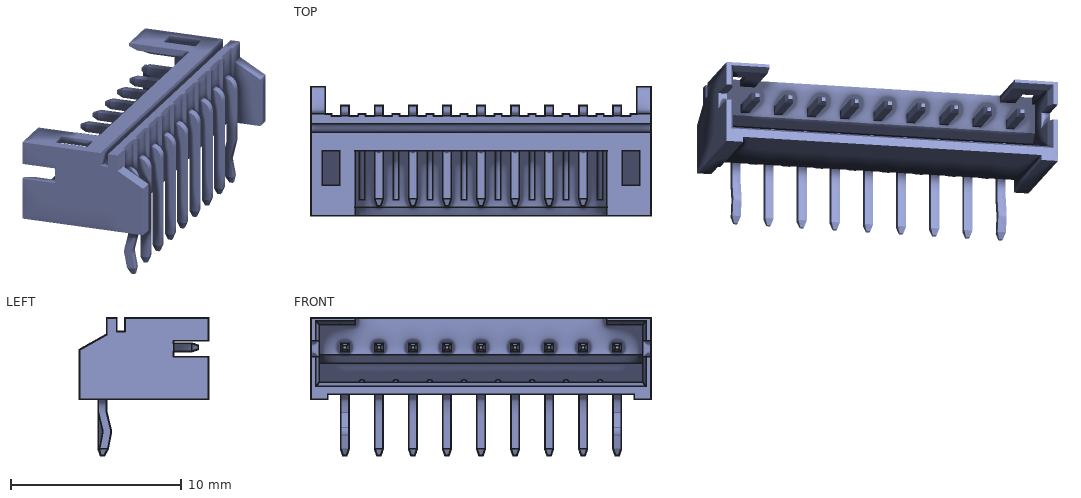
import cadquery as cq
import math


pin_count = 9
pitch = 2.0
pin_size = 0.5
half_pin = pin_size / 2
tip_size = 0.22
tip_length = 0.4
pin_axis_z = 3.05
pin_front_y = 0.6
leg_axis_y = 6.25
leg_bottom_z = -3.3
bend_radius = 0.7

kink_start_z = -0.75
crest_top_z = -1.65
crest_top_shift = 0.22
crest_middle_z = -1.85
crest_middle_shift = 0.25
crest_bottom_z = -2.08
crest_bottom_shift = 0.25
kink_end_shift = 0.08

width = 20.0
depth = 7.6
height = 4.8
end_margin = (width - (pin_count - 1) * pitch) / 2
back_wall_y = 5.88
parapet_y = 6.0
ear_width = 0.85
ear_top_z = 2.92
slope_top_z = 3.82
base_z = 0.3
foot_width = 1.0

groove_front_y = 4.92
groove_back_y = 5.4
groove_floor_z = 4.0

side_wall = 0.5
floor_z = 1.0
ceiling_z = 4.4
cavity_depth = 3.82
lead_in = 0.22
lead_in_depth = 0.52
undercut_top_z = 2.65
undercut_bottom_z = 2.15
undercut_slope_depth = 0.5
undercut_depth = 1.2

roof_margin = 2.6
window_margin = 0.68
window_width = 1.02
window_front_y = 1.8
slot_bottom_z = 2.52
slot_top_z = 3.45
slot_depth = 2.05

floor_rib_radius = 0.15
floor_rib_front_y = 0.95
back_rib_width = 0.45

pin_positions = [-width / 2 + end_margin + i * pitch for i in range(pin_count)]
gap_positions = [x + pitch / 2 for x in pin_positions[:-1]]
back_rib_positions = [pin_positions[0] - pitch / 2] + [x + pitch / 2 for x in pin_positions]


def block(x_range, y_range, z_range):
    """Box spanning the given (low, high) ranges."""
    (x0, x1), (y0, y1), (z0, z1) = x_range, y_range, z_range
    return cq.Workplane("XY").box(x1 - x0, y1 - y0, z1 - z0, centered=False).translate((x0, y0, z0))


def extrude_along_x(profile, length):
    """Extrude a closed (y, z) outline symmetrically about x = 0."""
    return cq.Workplane("YZ").polyline(profile).close().extrude(length / 2, both=True)


def make_shell():
    side_profile = [
        (0, 0),
        (depth, 0),
        (depth, ear_top_z),
        (parapet_y, slope_top_z),
        (parapet_y, height),
        (0, height),
    ]
    shell = extrude_along_x(side_profile, width)

    half_rear = width / 2 - ear_width
    shell = shell.cut(block((-half_rear, half_rear), (back_wall_y, depth), (0, height)))

    half_base = width / 2 - foot_width
    shell = shell.cut(block((-half_base, half_base), (0, back_wall_y), (0, base_z)))

    half_width = width / 2
    return shell.cut(
        block((-half_width, half_width), (groove_front_y, groove_back_y), (groove_floor_z, height))
    )


def make_cavity():
    cavity_width = width - 2 * side_wall
    cavity_height = ceiling_z - floor_z
    half_cavity = cavity_width / 2
    cavity = block((-half_cavity, half_cavity), (0, cavity_depth), (floor_z, ceiling_z))

    mouth = (
        cq.Workplane("XZ", origin=(0, 0, (floor_z + ceiling_z) / 2))
        .rect(cavity_width + 2 * lead_in, cavity_height + 2 * lead_in)
        .workplane(offset=-lead_in_depth)
        .rect(cavity_width, cavity_height)
        .loft(ruled=True)
    )
    undercut_back_y = cavity_depth + undercut_depth
    undercut = extrude_along_x(
        [
            (cavity_depth, floor_z),
            (undercut_back_y, floor_z),
            (undercut_back_y, undercut_bottom_z),
            (cavity_depth + undercut_slope_depth, undercut_bottom_z),
            (cavity_depth, undercut_top_z),
        ],
        cavity_width,
    )
    return cavity.union(mouth).union(undercut)


def make_shroud_openings():
    half_width = width / 2
    half_roof = half_width - roof_margin
    openings = block((-half_roof, half_roof), (0, cavity_depth), (floor_z, height))
    openings = openings.union(
        block((-half_width, half_width), (0, slot_depth), (slot_bottom_z, slot_top_z))
    )
    outer_x = half_width - window_margin
    inner_x = outer_x - window_width
    for x_range in [(-outer_x, -inner_x), (inner_x, outer_x)]:
        openings = openings.union(block(x_range, (window_front_y, cavity_depth), (ceiling_z, height)))
    return openings


def make_floor_ribs():
    rib_length = cavity_depth + undercut_depth - floor_rib_front_y
    return (
        cq.Workplane("XZ", origin=(0, floor_rib_front_y, floor_z))
        .pushPoints([(x, 0) for x in gap_positions])
        .circle(floor_rib_radius)
        .extrude(-rib_length)
    )


def make_back_ribs():
    rib_depth = parapet_y - back_wall_y
    rib_height = height - base_z
    return (
        cq.Workplane("XY", origin=(0, back_wall_y + rib_depth / 2, base_z))
        .pushPoints([(x, 0) for x in back_rib_positions])
        .rect(back_rib_width, rib_depth)
        .extrude(rib_height)
    )


def make_tip(plane, root_shift=0):
    """Blunt pyramid ending a contact along the plane normal; its root may be shifted in local y."""
    return (
        cq.Workplane(plane)
        .center(0, root_shift)
        .rect(pin_size, pin_size)
        .workplane(offset=tip_length)
        .center(0, -root_shift)
        .rect(tip_size, tip_size)
        .loft(ruled=True)
    )


def make_leg(kinked, start_z):
    """Square leg at x = 0 from start_z down to its tip; a kinked leg bows toward the mouth."""
    inner_y = leg_axis_y - half_pin
    outer_y = leg_axis_y + half_pin
    end_z = leg_bottom_z + tip_length
    end_shift = kink_end_shift if kinked else 0

    outline = cq.Workplane("YZ").moveTo(inner_y, start_z).lineTo(outer_y, start_z)
    if kinked:
        outline = (
            outline.lineTo(outer_y, kink_start_z)
            .lineTo(outer_y - crest_top_shift, crest_top_z)
            .threePointArc(
                (outer_y - crest_middle_shift, crest_middle_z),
                (outer_y - crest_bottom_shift, crest_bottom_z),
            )
        )
    outline = outline.lineTo(outer_y - end_shift, end_z).lineTo(inner_y - end_shift, end_z)
    if kinked:
        outline = (
            outline.lineTo(inner_y - crest_bottom_shift, crest_bottom_z)
            .threePointArc(
                (inner_y - crest_middle_shift, crest_middle_z),
                (inner_y - crest_top_shift, crest_top_z),
            )
            .lineTo(inner_y, kink_start_z)
        )
    leg = outline.close().extrude(half_pin, both=True)
    tip_plane = cq.Plane((0, leg_axis_y, end_z), (1, 0, 0), (0, 0, -1))
    return leg.union(make_tip(tip_plane, end_shift))


def make_contact(kinked):
    """Contact at x = 0: straight pin into the cavity, round bend, then the leg."""
    shaft_front_y = pin_front_y + tip_length
    bend_y = leg_axis_y + half_pin - bend_radius
    bend_z = pin_axis_z + half_pin - bend_radius
    inner_radius = bend_radius - pin_size
    diagonal = math.sqrt(0.5)

    bend = (
        cq.Workplane("YZ")
        .moveTo(shaft_front_y, bend_z + inner_radius)
        .lineTo(shaft_front_y, bend_z + bend_radius)
        .lineTo(bend_y, bend_z + bend_radius)
        .threePointArc(
            (bend_y + bend_radius * diagonal, bend_z + bend_radius * diagonal),
            (bend_y + bend_radius, bend_z),
        )
        .lineTo(bend_y + inner_radius, bend_z)
        .threePointArc(
            (bend_y + inner_radius * diagonal, bend_z + inner_radius * diagonal),
            (bend_y, bend_z + inner_radius),
        )
        .close()
        .extrude(half_pin, both=True)
    )
    front_tip = make_tip(cq.Plane((0, shaft_front_y, pin_axis_z), (1, 0, 0), (0, -1, 0)))
    return bend.union(make_leg(kinked, bend_z)).union(front_tip)


result = make_shell().cut(make_cavity()).cut(make_shroud_openings())
result = result.union(make_floor_ribs()).union(make_back_ribs())

straight_contact = make_contact(kinked=False)
kinked_contact = make_contact(kinked=True)
for x in pin_positions:
    is_end = x in (pin_positions[0], pin_positions[-1])
    contact = kinked_contact if is_end else straight_contact
    result = result.union(contact.translate((x, 0, 0)))